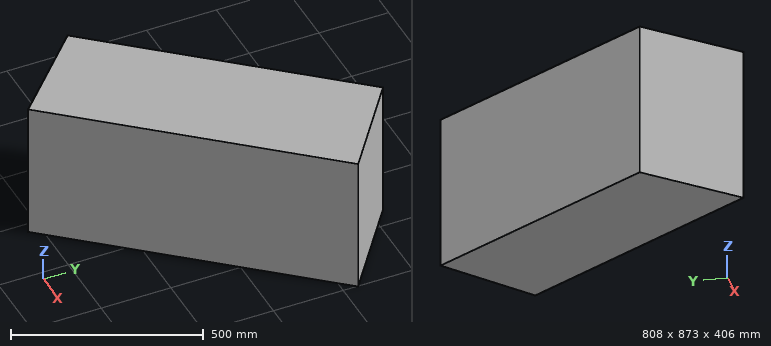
import cadquery as cq

width = 808.0
depth = 873.0
height = 406.0

front_corner_x = 237.0
left_corner_y = 224.5
back_corner_x = 545.0
right_corner_y = 678.5

outline = [
    (front_corner_x, 0),
    (width, right_corner_y),
    (back_corner_x, depth),
    (0, left_corner_y),
]

result = cq.Workplane("XY").polyline(outline).close().extrude(height)